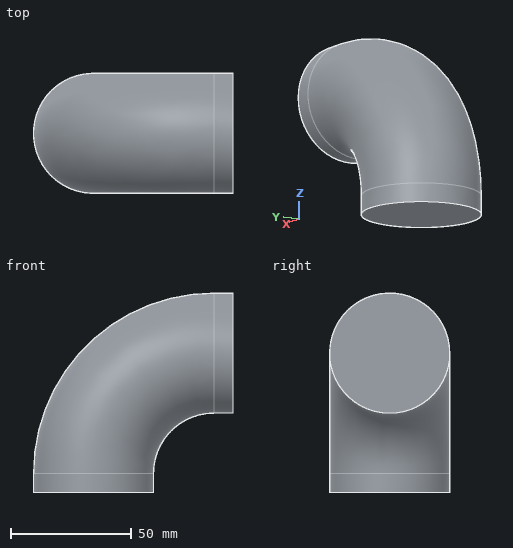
import cadquery as cq

outer_diameter = 50.0
bend_radius = 50.0
bend_angle = 90.0
collar_length = 8.0

bend_start_z = collar_length
bend_end_x = bend_radius
bend_end_z = bend_start_z + bend_radius


def make_bend():
    """Quarter torus from the lower collar to the side collar, turning about a Y axis."""
    return (
        cq.Workplane("XY", origin=(0, 0, bend_start_z))
        .circle(outer_diameter / 2)
        .revolve(bend_angle, (bend_radius, 0), (bend_radius, 1))
    )


def make_collar(plane, start):
    """Straight cylinder that starts at the given point and runs along the plane normal."""
    return cq.Workplane(plane, origin=start).circle(outer_diameter / 2).extrude(collar_length)


lower_collar = make_collar("XY", (0, 0, 0))
side_collar = make_collar("YZ", (bend_end_x, 0, bend_end_z))

result = make_bend().union(lower_collar).union(side_collar)